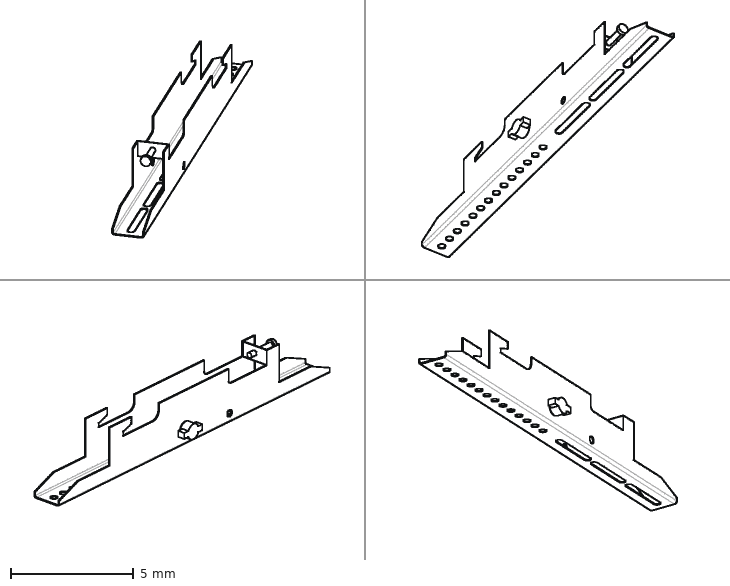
import cadquery as cq

length = 17.0
width = 1.36
height = 2.45
sheet = 0.05
bend_radius = 0.12
half_length = length / 2
half_width = width / 2

tip_height = 0.25
flank_height = 0.73
ramp_length = 1.19
tower_y = 5.32
shelf_z = 1.77
hook_tip_y = 3.96
hook_tip_z = 2.15
hook_root_y = 4.49
hook_root_z = 1.95
block_back_y = 2.23
block_back_fillet = 0.39
block_front_y = -2.15
block_front_fillet = 0.17
post_y = -4.54

hole_diameter = 0.3
hole_count = 14
first_hole_y = 8.04
last_hole_y = 0.37
hole_pitch = (first_hole_y - last_hole_y) / (hole_count - 1)
slot_count = 3
slot_length = 2.36
slot_pitch = 2.57
first_slot_y = -1.87
wall_hole_y = -2.21
wall_hole_z = 0.42

bolt_z = 2.12
bolt_diameter = 0.24
bolt_tip_y = -4.23
bolt_head_y = -5.56
bolt_head_length = 0.15
bolt_head_diameter = 0.45

knob_y = 0.63
knob_z = 0.75
knob_radius = 0.34
knob_length = 0.48
knob_rounding = 0.07
wing_span = 1.14
wing_height = 0.27
wing_depth = 0.34


def channel_section():
    """Full-height U channel with rounded bends, before the walls are trimmed."""
    outer = (
        cq.Workplane("XY")
        .box(width, length, height, centered=(True, True, False))
        .edges("|Y and <Z")
        .fillet(bend_radius)
    )
    inner = (
        cq.Workplane("XY", origin=(0, 0, sheet))
        .box(width - 2 * sheet, length, height, centered=(True, True, False))
        .edges("|Y and <Z")
        .fillet(bend_radius - sheet)
    )
    return outer.cut(inner)


def wall_profile():
    """Solid across the full width whose YZ outline trims both side walls."""
    back_fillet = block_back_fillet
    front_fillet = block_front_fillet
    return (
        cq.Workplane("YZ")
        .moveTo(half_length, 0)
        .lineTo(half_length, tip_height)
        .lineTo(half_length - ramp_length, flank_height)
        .lineTo(tower_y, flank_height)
        .lineTo(tower_y, height)
        .lineTo(hook_tip_y, height)
        .lineTo(hook_tip_y, hook_tip_z)
        .lineTo(hook_root_y, hook_root_z)
        .lineTo(hook_root_y, shelf_z)
        .lineTo(block_back_y + back_fillet, shelf_z)
        .radiusArc((block_back_y, shelf_z + back_fillet), back_fillet)
        .lineTo(block_back_y, height)
        .lineTo(block_front_y, height)
        .lineTo(block_front_y, shelf_z + front_fillet)
        .radiusArc((block_front_y - front_fillet, shelf_z), front_fillet)
        .lineTo(post_y, shelf_z)
        .lineTo(post_y, height)
        .lineTo(-tower_y, height)
        .lineTo(-tower_y, flank_height)
        .lineTo(ramp_length - half_length, flank_height)
        .lineTo(-half_length, tip_height)
        .lineTo(-half_length, 0)
        .close()
        .extrude(half_width, both=True)
    )


def floor_openings():
    """Row of round holes and row of long slots through the floor."""
    holes = [(0, first_hole_y - i * hole_pitch) for i in range(hole_count)]
    slots = [(0, first_slot_y - i * slot_pitch) for i in range(slot_count)]
    plane = cq.Workplane("XY")
    round_holes = plane.pushPoints(holes).circle(hole_diameter / 2).extrude(sheet)
    long_slots = plane.pushPoints(slots).slot2D(slot_length, hole_diameter, angle=90).extrude(sheet)
    return round_holes.union(long_slots)


def wall_hole():
    """Cross hole through both side walls."""
    return (
        cq.Workplane("YZ")
        .center(wall_hole_y, wall_hole_z)
        .circle(hole_diameter / 2)
        .extrude(half_width, both=True)
    )


def bridge_plate():
    """Plate joining the two front posts above the shelf."""
    plate_height = height - shelf_z
    return (
        cq.Workplane("XY", origin=(0, post_y - sheet / 2, shelf_z))
        .box(width, sheet, plate_height, centered=(True, True, False))
    )


def bolt():
    """Headed bolt along Y, its head towards -Y."""
    shank = (
        cq.Workplane("XZ", origin=(0, bolt_tip_y, bolt_z))
        .circle(bolt_diameter / 2)
        .extrude(bolt_tip_y - bolt_head_y)
    )
    head = (
        cq.Workplane("XZ", origin=(0, bolt_head_y, bolt_z))
        .circle(bolt_head_diameter / 2)
        .extrude(bolt_head_length)
    )
    return shank.union(head)


def thumb_screw():
    """Round knob with two flat wings, rounded where it meets the wall."""
    outer_face = cq.Workplane("YZ", origin=(-half_width - knob_length, knob_y, knob_z))
    knob = outer_face.circle(knob_radius).extrude(knob_length).faces(">X").fillet(knob_rounding)
    wings = outer_face.rect(wing_span, wing_height).extrude(wing_depth)
    return knob.union(wings)


result = (
    channel_section()
    .intersect(wall_profile())
    .cut(floor_openings())
    .cut(wall_hole())
    .union(bridge_plate())
    .union(bolt())
    .union(thumb_screw())
)